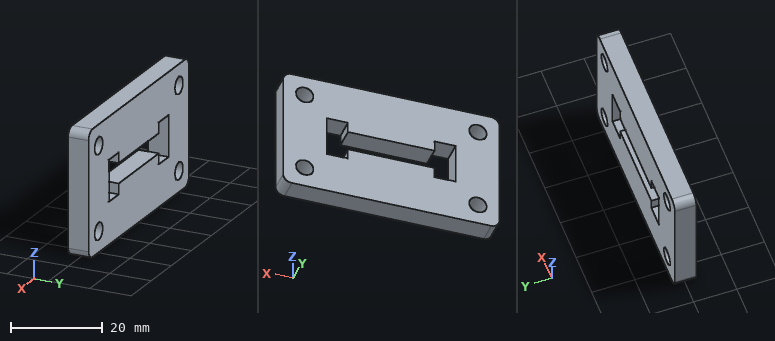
import cadquery as cq

length = 50.0
thickness = 5.0
height = 30.0
corner_radius = 2.0

hole_diameter = 4.0
hole_inset = 5.0
hole_spacing_x = length - 2 * hole_inset
hole_spacing_z = height - 2 * hole_inset

window_length = 29.7
window_end_height = 9.8
slot_length = 20.0
slot_height = 4.7


def make_plate():
    """Rounded plate standing in the XZ plane, centred on the origin."""
    block = cq.Workplane("XY").box(length, thickness, height)
    return block.edges("|Y").fillet(corner_radius)


def make_holes():
    """Four through holes at the corners of a rectangle."""
    return (
        cq.Workplane("XZ")
        .rarray(hole_spacing_x, hole_spacing_z, 2, 2)
        .circle(hole_diameter / 2)
        .extrude(thickness / 2, both=True)
    )


def make_window():
    """Through window shaped like a dumbbell with square ends."""
    end_length = (window_length - slot_length) / 2
    end_spacing = slot_length + end_length
    slot = cq.Workplane("XY").box(window_length, thickness, slot_height)
    ends = (
        cq.Workplane("XY")
        .rarray(end_spacing, 0.5, 2, 1)
        .box(end_length, thickness, window_end_height)
    )
    return slot.union(ends)


result = make_plate().cut(make_holes()).cut(make_window())